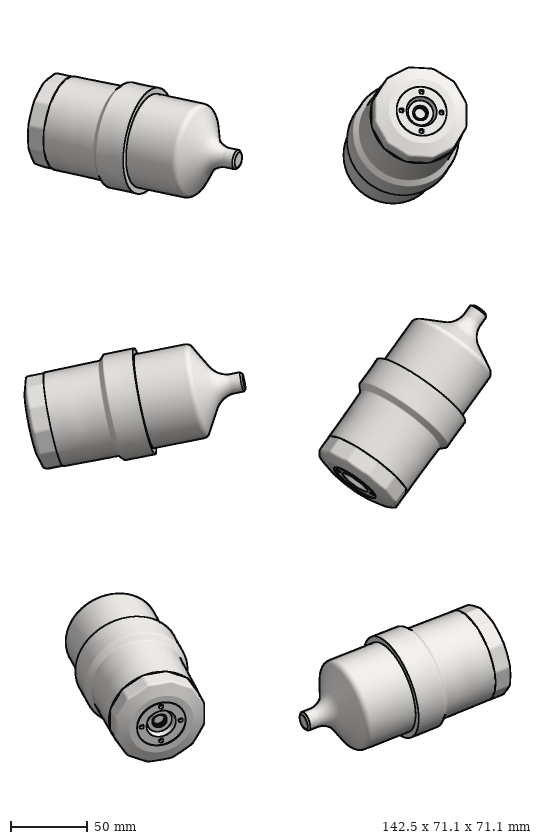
import cadquery as cq
import math

LENGTH = 142.5

FLAT_COUNT = 12
FLAT_DISTANCE = 30.6
CORNER_RADIUS = 4.4
HEAD_LENGTH = 14.8
FACE_RADIUS = 22.0
FACE_CONE_ANGLE = 17.0
HEAD_EDGE_RADIUS = 1.7

SLEEVE_START_RADIUS = 31.5
SLEEVE_END_RADIUS = 31.9
COLLAR_FRONT_RADIUS = 35.5
COLLAR_DIAMETER = 71.1
COLLAR_FOOT_X = 52.2
COLLAR_END_X = 75.8
COLLAR_BLEND = 1.21
COLLAR_CHAMFER_ANGLE = math.radians(45)

HOUSING_RADIUS = 31.5
HOUSING_END_X = 109.3
SHOULDER_RADIUS = 4.4
NOSE_ANGLE = 60.0
NOSE_CONE_END_X = 121.7
PIN_RADIUS = 6.5
PIN_START_X = 133.7
PIN_CHAMFER = 1.3

PANEL_DIAMETER = 33.3
PANEL_DEPTH = 0.5
PIN_HOLE_COUNT = 4
PIN_HOLE_DIAMETER = 3.0
PIN_HOLE_DISTANCE = 13.4
PIN_HOLE_DEPTH = 2.8
SOCKET_MOUTH_RADIUS = 10.1
SOCKET_FLOOR_RADIUS = 8.4
SOCKET_DEPTH = 3.4
COUNTERBORE_DIAMETER = 10.0
COUNTERBORE_DEPTH = 1.0
BORE_DIAMETER = 7.8
BORE_DEPTH = 1.7


def turn(profile):
    """Revolve a closed (x, radius) profile about the X axis."""
    return profile.close().revolve(360, (0, 0, 0), (1, 0, 0))


def drill(diameter, start_x, depth):
    """Round cutter along the X axis."""
    return cq.Workplane("YZ", origin=(start_x, 0, 0)).circle(diameter / 2).extrude(depth)


def make_head():
    corner_diameter = 2 * FLAT_DISTANCE / math.cos(math.pi / FLAT_COUNT)
    prism = (
        cq.Workplane("YZ")
        .transformed(rotate=(0, 0, 180 / FLAT_COUNT))
        .polygon(FLAT_COUNT, corner_diameter)
        .extrude(HEAD_LENGTH)
        .edges("|X")
        .fillet(CORNER_RADIUS)
    )
    cone_end_radius = FACE_RADIUS + HEAD_LENGTH / math.tan(math.radians(FACE_CONE_ANGLE))
    cone = turn(
        cq.Workplane("XY")
        .moveTo(0, 0)
        .lineTo(0, FACE_RADIUS)
        .lineTo(HEAD_LENGTH, cone_end_radius)
        .lineTo(HEAD_LENGTH, 0)
    )
    head = prism.intersect(cone)
    rim = head.faces("%CONE").edges("not(<X)")
    return head.newObject(rim.vals()).fillet(HEAD_EDGE_RADIUS)


def make_body():
    collar_top_x = COLLAR_FOOT_X + COLLAR_FRONT_RADIUS - SLEEVE_END_RADIUS
    tangent = COLLAR_BLEND * math.tan(COLLAR_CHAMFER_ANGLE / 2)
    slant = tangent * math.cos(COLLAR_CHAMFER_ANGLE)

    nose = math.radians(NOSE_ANGLE)
    shoulder_end_x = HOUSING_END_X + SHOULDER_RADIUS * math.sin(nose)
    shoulder_end_radius = HOUSING_RADIUS - SHOULDER_RADIUS * (1 - math.cos(nose))
    cone_drop = (NOSE_CONE_END_X - shoulder_end_x) * math.tan(nose)

    return turn(
        cq.Workplane("XY")
        .moveTo(HEAD_LENGTH, 0)
        .lineTo(HEAD_LENGTH, SLEEVE_START_RADIUS)
        .lineTo(COLLAR_FOOT_X - tangent, SLEEVE_END_RADIUS)
        .radiusArc((COLLAR_FOOT_X + slant, SLEEVE_END_RADIUS + slant), -COLLAR_BLEND)
        .lineTo(collar_top_x - slant, COLLAR_FRONT_RADIUS - slant)
        .radiusArc((collar_top_x + tangent, COLLAR_FRONT_RADIUS), COLLAR_BLEND)
        .lineTo(COLLAR_END_X, COLLAR_DIAMETER / 2)
        .lineTo(COLLAR_END_X, HOUSING_RADIUS)
        .lineTo(HOUSING_END_X, HOUSING_RADIUS)
        .radiusArc((shoulder_end_x, shoulder_end_radius), SHOULDER_RADIUS)
        .lineTo(NOSE_CONE_END_X, shoulder_end_radius - cone_drop)
        .tangentArcPoint((PIN_START_X, PIN_RADIUS), relative=False)
        .lineTo(LENGTH - PIN_CHAMFER, PIN_RADIUS)
        .lineTo(LENGTH, PIN_RADIUS - PIN_CHAMFER)
        .lineTo(LENGTH, 0)
    )


def make_face_cutters():
    socket_floor_x = PANEL_DEPTH + SOCKET_DEPTH
    panel = drill(PANEL_DIAMETER, 0, PANEL_DEPTH)
    socket = turn(
        cq.Workplane("XY")
        .moveTo(PANEL_DEPTH, 0)
        .lineTo(PANEL_DEPTH, SOCKET_MOUTH_RADIUS)
        .lineTo(socket_floor_x, SOCKET_FLOOR_RADIUS)
        .lineTo(socket_floor_x, 0)
    )
    counterbore = drill(COUNTERBORE_DIAMETER, socket_floor_x, COUNTERBORE_DEPTH)
    bore = drill(BORE_DIAMETER, socket_floor_x + COUNTERBORE_DEPTH, BORE_DEPTH)
    pin_holes = (
        cq.Workplane("YZ", origin=(PANEL_DEPTH, 0, 0))
        .polarArray(PIN_HOLE_DISTANCE, 0, 360, PIN_HOLE_COUNT)
        .circle(PIN_HOLE_DIAMETER / 2)
        .extrude(PIN_HOLE_DEPTH)
    )
    return [panel, socket, counterbore, bore, pin_holes]


result = make_head().union(make_body())
for cutter in make_face_cutters():
    result = result.cut(cutter)